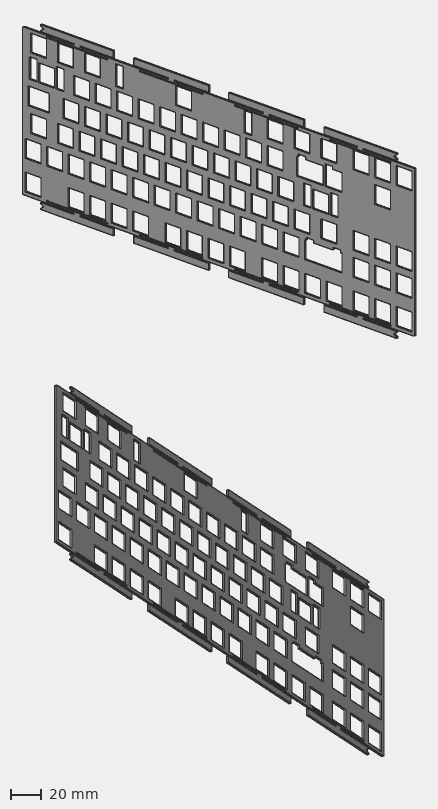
import cadquery as cq

LENGTH = 347.5
TOTAL_HEIGHT = 131.0
THICKNESS = 1.5
KEYS_WIDE = 18.25
KEYS_HIGH = 6.25
KEY_PITCH = LENGTH / KEYS_WIDE
PLATE_HEIGHT = KEYS_HIGH * KEY_PITCH
PLATE_CORNER_RADIUS = 1.0

SWITCH_SIZE = 14.0
STABILIZER_WIDTH = 6.75
STABILIZER_HEIGHT = 16.0
STABILIZER_OFFSET = 11.92
SPACEBAR_STABILIZER_OFFSET = 57.0
STABILIZER_SHIFT = (STABILIZER_HEIGHT - SWITCH_SIZE) / 2
OPENING_CORNER_RADIUS = 0.52

INNER_TAB_CENTER = 42.0
INNER_TAB_LENGTH = 66.5
OUTER_TAB_CENTER = 125.5
OUTER_TAB_LENGTH = 64.3
BRIDGE_WIDTH = 5.5
TAB_GAP = 1.0
STRIP_WIDTH = 1.0
SLIT_WIDTH = 0.87
SLIT_INSET = 5.2
EDGE_Z = PLATE_HEIGHT / 2
TAB_TOP_Z = TOTAL_HEIGHT / 2
TAB_BOTTOM_Z = EDGE_Z + TAB_GAP
NOTCH_DEPTH = 2.5
NOTCH_HEIGHT = 3.5

SPACEBAR_ROW = 0.5
SHIFT_ROW = 1.5
HOME_ROW = 2.5
TAB_KEY_ROW = 3.5
NUMBER_ROW = 4.5
FUNCTION_ROW = 5.75

NAVIGATION_COLUMNS = [15.75, 16.75, 17.75]
SPACEBAR_COLUMN = 7.5
LEFT_SHIFT_COLUMN = 1.125
RIGHT_SHIFT_COLUMN = 13.625
ENTER_COLUMN = 13.875
BACKSPACE_COLUMN = 14.0


def keys_from(first, count):
    """Columns of neighbouring keys one pitch apart."""
    return [first + i for i in range(count)]


SWITCH_COLUMNS = {
    SPACEBAR_ROW: [0.75, 2.0, 3.25, SPACEBAR_COLUMN, 11.75, 13.0, 14.25] + NAVIGATION_COLUMNS,
    SHIFT_ROW: [LEFT_SHIFT_COLUMN] + keys_from(2.75, 10) + [13.125, RIGHT_SHIFT_COLUMN, 14.5, 16.75],
    HOME_ROW: [0.625, 0.875] + keys_from(2.25, 11) + [ENTER_COLUMN],
    TAB_KEY_ROW: [0.75] + keys_from(2.0, 12) + [14.25] + NAVIGATION_COLUMNS,
    NUMBER_ROW: keys_from(0.5, 13) + [13.5, BACKSPACE_COLUMN, 14.5] + NAVIGATION_COLUMNS,
    FUNCTION_ROW: [0.5] + keys_from(2.5, 4) + keys_from(7.0, 4) + keys_from(11.5, 4) + NAVIGATION_COLUMNS,
}

STABILIZED_KEYS = [
    (SPACEBAR_COLUMN, SPACEBAR_ROW, SPACEBAR_STABILIZER_OFFSET, -1),
    (LEFT_SHIFT_COLUMN, SHIFT_ROW, STABILIZER_OFFSET, 1),
    (RIGHT_SHIFT_COLUMN, SHIFT_ROW, STABILIZER_OFFSET, 1),
    (ENTER_COLUMN, HOME_ROW, STABILIZER_OFFSET, 1),
    (BACKSPACE_COLUMN, NUMBER_ROW, STABILIZER_OFFSET, 1),
]


def block(x, z, width, height):
    """Full-thickness block centred at (x, z)."""
    return cq.Workplane("XY").box(width, THICKNESS, height).translate((x, 0, z))


def key_center(column, row):
    """X and Z of a key given in key pitches."""
    return column * KEY_PITCH - LENGTH / 2, EDGE_Z - row * KEY_PITCH


def key_openings():
    """All switch and stabilizer openings, merged where they overlap."""
    blocks = []
    for row, columns in SWITCH_COLUMNS.items():
        for column in columns:
            x, z = key_center(column, row)
            blocks.append(block(x, z, SWITCH_SIZE, SWITCH_SIZE).val())
    for column, row, offset, reach in STABILIZED_KEYS:
        x, z = key_center(column, row)
        for side in (-1, 1):
            slot_z = z + reach * STABILIZER_SHIFT
            blocks.append(block(x + side * offset, slot_z, STABILIZER_WIDTH, STABILIZER_HEIGHT).val())
    merged = blocks[0].fuse(*blocks[1:]).clean()
    return cq.Workplane(merged).edges("|Y").fillet(OPENING_CORNER_RADIUS)


def upper_tab(center, length, notched):
    """Tab above the upper plate edge with its bridge; a notch, if any, cuts its right end."""
    right = center + length / 2
    tab_height = TAB_TOP_Z - TAB_BOTTOM_Z
    middle_z = (TAB_TOP_Z + TAB_BOTTOM_Z) / 2
    tab = block(center, middle_z, length, tab_height)
    if notched:
        notch = (
            cq.Workplane("XZ")
            .moveTo(right, middle_z + NOTCH_HEIGHT / 2)
            .lineTo(right - NOTCH_DEPTH, middle_z)
            .lineTo(right, middle_z - NOTCH_HEIGHT / 2)
            .close()
            .extrude(THICKNESS, both=True)
        )
        tab = tab.cut(notch)
    bridge_bottom_z = EDGE_Z - STRIP_WIDTH
    bridge = block(center, (bridge_bottom_z + middle_z) / 2, BRIDGE_WIDTH, middle_z - bridge_bottom_z)
    return tab.union(bridge)


def upper_slit(center, length):
    """Closed slit that frees the strip below a tab."""
    slit_z = EDGE_Z - STRIP_WIDTH - SLIT_WIDTH / 2
    return block(center, slit_z, length - 2 * SLIT_INSET, SLIT_WIDTH)


plate = block(0, 0, LENGTH, PLATE_HEIGHT).edges("|Y").fillet(PLATE_CORNER_RADIUS)

for tab_center, tab_length, has_notch in (
    (INNER_TAB_CENTER, INNER_TAB_LENGTH, False),
    (OUTER_TAB_CENTER, OUTER_TAB_LENGTH, True),
):
    right_slit = upper_slit(tab_center, tab_length)
    right_tab = upper_tab(tab_center, tab_length, has_notch)
    slits = right_slit.union(right_slit.mirror("YZ"))
    tabs = right_tab.union(right_tab.mirror("YZ"))
    plate = plate.cut(slits).cut(slits.mirror("XY"))
    plate = plate.union(tabs).union(tabs.mirror("XY"))

result = plate.cut(key_openings())